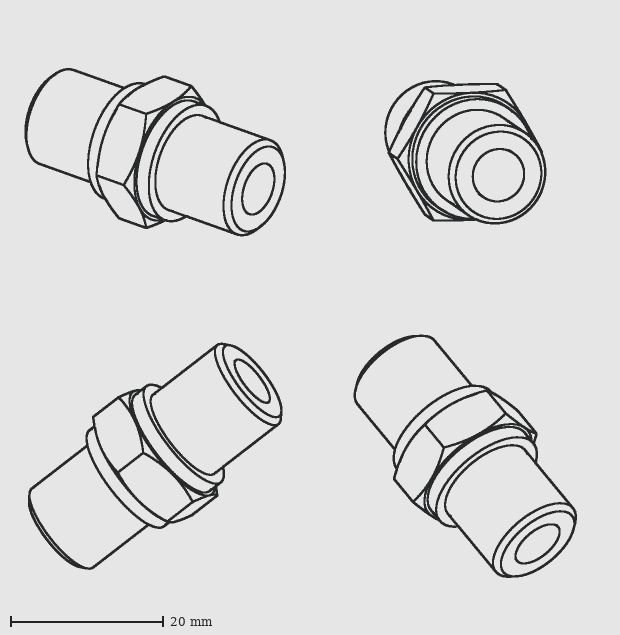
import cadquery as cq
import math

total_length = 34.0
collar_length = 10.0
hex_length = 6.0

barrel_diameter = 13.16
collar_diameter = 16.0
bore_diameter = 7.0
hex_across_flats = 17.0
hex_across_corners = hex_across_flats / math.cos(math.radians(30))

end_chamfer = 0.75
hex_chamfer_angle = 30.0
hex_face_diameter = hex_across_flats


def centred_cylinder(diameter, length):
    """Cylinder along X, centred on the origin."""
    return cq.Workplane("YZ").circle(diameter / 2).extrude(length / 2, both=True)


def make_barrel():
    """Full-length round body with both ends chamfered."""
    barrel = centred_cylinder(barrel_diameter, total_length)
    return barrel.faces("<X or >X").chamfer(end_chamfer)


def make_hex():
    """Hexagon with corners on Y, its corners turned down conically at both ends."""
    prism = cq.Workplane("YZ").polygon(6, hex_across_corners).extrude(hex_length / 2, both=True)
    half_length = hex_length / 2
    face_radius = hex_face_diameter / 2
    corner_radius = hex_across_corners / 2
    chamfer_depth = (corner_radius - face_radius) * math.tan(math.radians(hex_chamfer_angle))
    turned_envelope = (
        cq.Workplane("XY")
        .moveTo(-half_length, 0)
        .lineTo(-half_length, face_radius)
        .lineTo(-half_length + chamfer_depth, corner_radius)
        .lineTo(half_length - chamfer_depth, corner_radius)
        .lineTo(half_length, face_radius)
        .lineTo(half_length, 0)
        .close()
        .revolve(360, (0, 0, 0), (1, 0, 0))
    )
    return prism.intersect(turned_envelope)


body = make_barrel().union(centred_cylinder(collar_diameter, collar_length)).union(make_hex())
result = body.cut(centred_cylinder(bore_diameter, total_length))